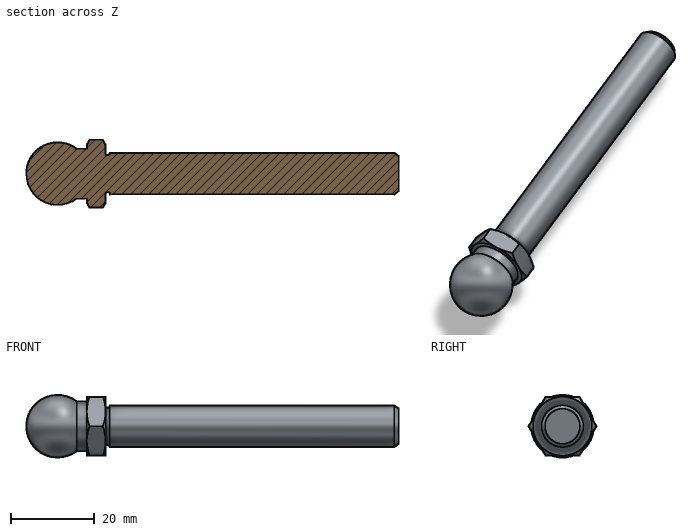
import cadquery as cq
import math

total_length = 89.0

ball_diameter = 15.0
neck_diameter = 12.0

hex_start = 14.5
hex_end = 19.0
hex_across_flats = 14.1
hex_chamfer_angle = 30.0

shaft_diameter = 10.0
groove_width = 1.0
groove_depth = 0.5
tip_chamfer_length = 1.1
tip_chamfer_depth = 0.8

ball_radius = ball_diameter / 2
neck_radius = neck_diameter / 2
shaft_radius = shaft_diameter / 2
hex_width = hex_end - hex_start
hex_corner_diameter = hex_across_flats / math.cos(math.radians(30))


def make_turned_body():
    """Revolve the ball, neck and shaft around X."""
    neck_start = ball_radius + math.sqrt(ball_radius**2 - neck_radius**2)
    groove_middle = (hex_end + groove_width / 2, shaft_radius - groove_depth)
    groove_end = (hex_end + groove_width, shaft_radius)
    profile = (
        cq.Workplane("XY")
        .moveTo(0, 0)
        .threePointArc((ball_radius, ball_radius), (neck_start, neck_radius))
        .lineTo(hex_start, neck_radius)
        .lineTo(hex_end, neck_radius)
        .lineTo(hex_end, shaft_radius)
        .threePointArc(groove_middle, groove_end)
        .lineTo(total_length - tip_chamfer_length, shaft_radius)
        .lineTo(total_length, shaft_radius - tip_chamfer_depth)
        .lineTo(total_length, 0)
        .close()
    )
    return profile.revolve(360, (0, 0, 0), (1, 0, 0))


def make_hex_collar():
    """Hexagonal prism whose corners are trimmed by a cone at each face."""
    prism = (
        cq.Workplane("YZ", origin=(hex_start, 0, 0))
        .polygon(6, hex_corner_diameter)
        .extrude(hex_width)
    )
    chamfer_depth = (hex_corner_diameter - hex_across_flats) / 2
    chamfer_length = chamfer_depth * math.tan(math.radians(hex_chamfer_angle))
    envelope = (
        cq.Workplane("YZ", origin=(hex_start, 0, 0))
        .circle(hex_corner_diameter / 2)
        .extrude(hex_width)
        .faces("<X or >X")
        .chamfer(chamfer_length, chamfer_depth)
    )
    return prism.intersect(envelope)


result = make_turned_body().union(make_hex_collar())